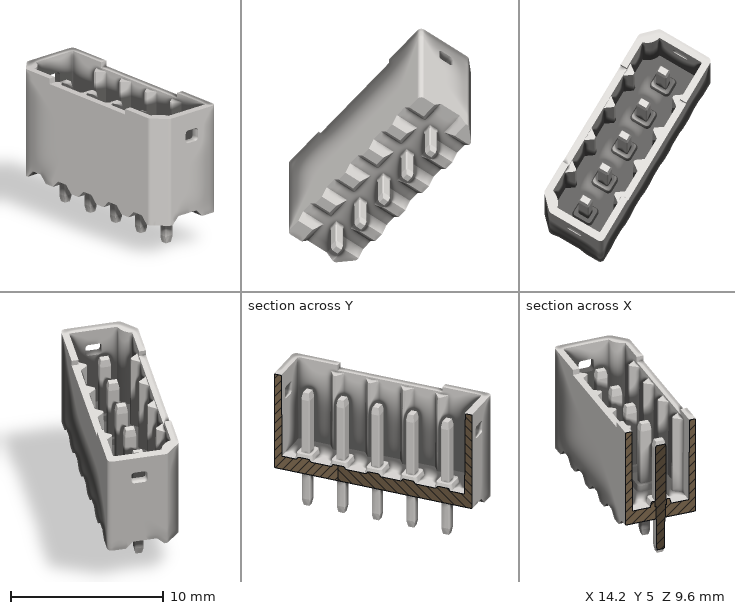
import cadquery as cq
import math

LENGTH = 14.22
WIDTH = 5.0
HEIGHT = 7.51
TAIL_LENGTH = 2.09
PITCH = 2.5
PIN_COUNT = 5

EDGE_RADIUS = 0.3
FRONT_CHAMFER = 1.0

END_WALL = 0.53
SIDE_WALL = 0.47
FLOOR_THICKNESS = 1.0
CAVITY_DRAFT = 0.5
CAVITY_CORNER_RADIUS = 0.1
CORNER_RELIEF = 0.82
CORNER_BULGE = 0.15

RIB_DEPTH = 0.54
RIB_BASE_WIDTH = 0.95
RIB_TIP_WIDTH = 0.17
RIB_EMBED = 0.14
RIB_TOP_GAP = 0.53

RECESS_LENGTH = 3 * PITCH
RECESS_DEPTH = 0.38

GROOVE_DEPTH = 0.51
CROSS_GROOVE_BASE = 1.79
CROSS_GROOVE_ROOF = 0.8
LONG_GROOVE_BASE = 2.59
LONG_GROOVE_ROOF = 1.59

WINDOW_WIDTH = 1.08
WINDOW_HEIGHT = 0.9
WINDOW_RADIUS = 0.21
WINDOW_OFFSET_Y = 0.38
WINDOW_TOP_GAP = 1.2

BOSS_X = 1.31
BOSS_Y = 1.51
BOSS_HEIGHT = 0.4
BOSS_INSET = 0.1
BOSS_RADIUS = 0.3

PIN_X = 0.61
CONTACT_Y = 0.8
TAIL_Y = 0.63
PIN_EDGE_RADIUS = 0.1
PIN_TIP_LENGTH = 0.51
PIN_TIP_INSET = 0.1
CONTACT_TOP_GAP = 1.2
TAIL_COLLAR = 0.3

FLOOR_Z = GROOVE_DEPTH + FLOOR_THICKNESS
BOSS_TOP_Z = FLOOR_Z + BOSS_HEIGHT
CAVITY_X = LENGTH / 2 - END_WALL
CAVITY_Y = WIDTH / 2 - SIDE_WALL
PIN_PLACES = [(i - (PIN_COUNT - 1) / 2) * PITCH for i in range(PIN_COUNT)]
RIB_PLACES = [x + PITCH / 2 for x in PIN_PLACES[:-1]]
SPLIT_X = PIN_PLACES[1]


def slope(inset, length):
    """Taper angle in degrees that moves a side in by inset over length."""
    return math.degrees(math.atan2(inset, length))


def box_between(size_x, size_y, bottom, top):
    """Box centred on the Z axis between two heights."""
    return cq.Workplane("XY").workplane(offset=bottom).rect(size_x, size_y).extrude(top - bottom)


def outer_block():
    """Housing block with two chamfered front corners and rounded upright edges."""
    block = box_between(LENGTH, WIDTH, 0, HEIGHT)
    block = block.faces("<Y").edges("|Z").chamfer(FRONT_CHAMFER)
    return block.edges("|Z").fillet(EDGE_RADIUS)


def cavity():
    """Drafted cavity whose two front corners are cut short by bulging arcs."""
    relief_x = CAVITY_X - CORNER_RELIEF
    relief_y = -CAVITY_Y + CORNER_RELIEF
    middle_shift = CORNER_BULGE / math.sqrt(2)
    middle_x = CAVITY_X - CORNER_RELIEF / 2 - middle_shift
    middle_y = -CAVITY_Y + CORNER_RELIEF / 2 + middle_shift
    round_x = CAVITY_X - CAVITY_CORNER_RADIUS
    round_y = CAVITY_Y - CAVITY_CORNER_RADIUS
    profile = (
        cq.Workplane("XY")
        .workplane(offset=HEIGHT)
        .moveTo(-relief_x, -CAVITY_Y)
        .lineTo(relief_x, -CAVITY_Y)
        .threePointArc((middle_x, middle_y), (CAVITY_X, relief_y))
        .lineTo(CAVITY_X, round_y)
        .radiusArc((round_x, CAVITY_Y), -CAVITY_CORNER_RADIUS)
        .lineTo(-round_x, CAVITY_Y)
        .radiusArc((-CAVITY_X, round_y), -CAVITY_CORNER_RADIUS)
        .lineTo(-CAVITY_X, relief_y)
        .threePointArc((-middle_x, middle_y), (-relief_x, -CAVITY_Y))
        .close()
    )
    return profile.extrude(FLOOR_Z - HEIGHT, taper=CAVITY_DRAFT)


def rib(x, side):
    """Upright V rib on the long wall at side = +1 (back) or -1 (front)."""
    base_y = side * (CAVITY_Y + RIB_EMBED)
    wall_y = side * CAVITY_Y
    tip_y = side * (CAVITY_Y - RIB_DEPTH)
    half_base = RIB_BASE_WIDTH / 2
    half_tip = RIB_TIP_WIDTH / 2
    outline = [
        (x - half_base, base_y),
        (x - half_base, wall_y),
        (x - half_tip, tip_y),
        (x + half_tip, tip_y),
        (x + half_base, wall_y),
        (x + half_base, base_y),
    ]
    rib_top = HEIGHT - RIB_TOP_GAP
    profile = cq.Workplane("XY").workplane(offset=rib_top).polyline(outline).close()
    return profile.extrude(FLOOR_Z - rib_top, taper=-CAVITY_DRAFT)


def boss(x):
    """Rounded, sloping boss on the cavity floor around one pin."""
    outline = cq.Sketch().rect(BOSS_X, BOSS_Y).vertices().fillet(BOSS_RADIUS)
    profile = cq.Workplane("XY", origin=(x, 0, FLOOR_Z)).placeSketch(outline)
    return profile.extrude(BOSS_HEIGHT, taper=slope(BOSS_INSET, BOSS_HEIGHT))


def groove_outline(plane, base, roof, centre):
    """Trapezoid standing on the underside, open downwards."""
    return plane.polyline(
        [
            (centre - base / 2, 0),
            (centre - roof / 2, GROOVE_DEPTH),
            (centre + roof / 2, GROOVE_DEPTH),
            (centre + base / 2, 0),
        ]
    ).close()


def cross_groove(x):
    """Underside groove across the width at one pin."""
    outline = groove_outline(cq.Workplane("XZ"), CROSS_GROOVE_BASE, CROSS_GROOVE_ROOF, x)
    return outline.extrude(WIDTH / 2, both=True)


def long_groove():
    """Underside groove along the whole length."""
    outline = groove_outline(cq.Workplane("YZ"), LONG_GROOVE_BASE, LONG_GROOVE_ROOF, 0)
    return outline.extrude(LENGTH / 2, both=True)


def windows():
    """Rounded bar that opens a window in each end wall."""
    centre_z = HEIGHT - WINDOW_TOP_GAP - WINDOW_HEIGHT / 2
    bar = cq.Workplane("XY").box(LENGTH, WINDOW_WIDTH, WINDOW_HEIGHT)
    bar = bar.edges("|X").fillet(WINDOW_RADIUS)
    return bar.translate((0, WINDOW_OFFSET_Y, centre_z))


def pin_end(size_y, length):
    """Round-edged pin end that rises from Z = 0 and tapers at its tip."""
    shank = length - PIN_TIP_LENGTH
    envelope = box_between(PIN_X, size_y, 0, shank)
    envelope = (
        envelope.faces(">Z")
        .workplane()
        .rect(PIN_X, size_y)
        .extrude(PIN_TIP_LENGTH, taper=slope(PIN_TIP_INSET, PIN_TIP_LENGTH))
    )
    rounded = box_between(PIN_X, size_y, 0, length).edges("|Z").fillet(PIN_EDGE_RADIUS)
    return envelope.intersect(rounded)


def pin(x):
    """One pin: contact above the boss, sharp-edged core in the floor, solder tail below."""
    collar_z = GROOVE_DEPTH - TAIL_COLLAR
    contact_length = HEIGHT - CONTACT_TOP_GAP - BOSS_TOP_Z
    contact = pin_end(CONTACT_Y, contact_length).translate((0, 0, BOSS_TOP_Z))
    contact_core = box_between(PIN_X, CONTACT_Y, FLOOR_Z, BOSS_TOP_Z)
    tail_core = box_between(PIN_X, TAIL_Y, collar_z, FLOOR_Z)
    tail = pin_end(TAIL_Y, TAIL_LENGTH + collar_z).rotate((0, 0, 0), (1, 0, 0), 180)
    tail = tail.translate((0, 0, collar_z))
    return contact_core.union(contact).union(tail_core).union(tail).translate((x, 0, 0))


def whole_housing(pins):
    """Complete housing with a matching hole for every pin."""
    shell = outer_block().cut(cavity())
    for x in RIB_PLACES:
        for side in (-1, 1):
            shell = shell.union(rib(x, side))
    for x in PIN_PLACES:
        shell = shell.union(boss(x)).cut(cross_groove(x))
    recess = box_between(RECESS_LENGTH, WIDTH, HEIGHT - RECESS_DEPTH, HEIGHT)
    shell = shell.cut(long_groove()).cut(windows()).cut(recess)
    for one_pin in pins:
        shell = shell.cut(one_pin)
    return shell


def housing_part(housing, start_x, end_x):
    """Part of the housing between two X planes."""
    slab = cq.Workplane("XY").box(end_x - start_x, WIDTH, HEIGHT)
    return housing.intersect(slab.translate(((start_x + end_x) / 2, 0, HEIGHT / 2))).solids()


pins = [pin(x) for x in PIN_PLACES]
housing = whole_housing(pins)
left_housing = housing_part(housing, -LENGTH / 2, SPLIT_X)
right_housing = housing_part(housing, SPLIT_X, LENGTH / 2)

result = cq.Compound.makeCompound(
    [left_housing.val(), right_housing.val(), *[one_pin.val() for one_pin in pins]]
)